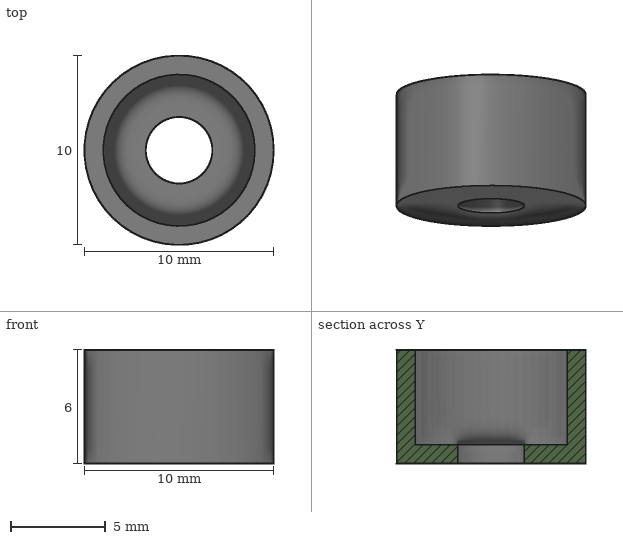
import cadquery as cq

outer_diameter = 10.0
height = 6.0
wall_thickness = 1.0
floor_thickness = 1.0
hole_diameter = 3.5

bore_diameter = outer_diameter - 2 * wall_thickness
bore_depth = height - floor_thickness


def make_body():
    """Solid cylinder standing on the XY plane, centred on Z."""
    return cq.Workplane("XY").circle(outer_diameter / 2).extrude(height)


def cut_bore(body):
    """Wide bore, open at the top and closed below by the floor."""
    return body.faces(">Z").workplane().circle(bore_diameter / 2).cutBlind(-bore_depth)


def cut_floor_hole(body):
    """Central hole through the floor."""
    hole = cq.Workplane("XY").circle(hole_diameter / 2).extrude(floor_thickness)
    return body.cut(hole)


result = cut_floor_hole(cut_bore(make_body()))